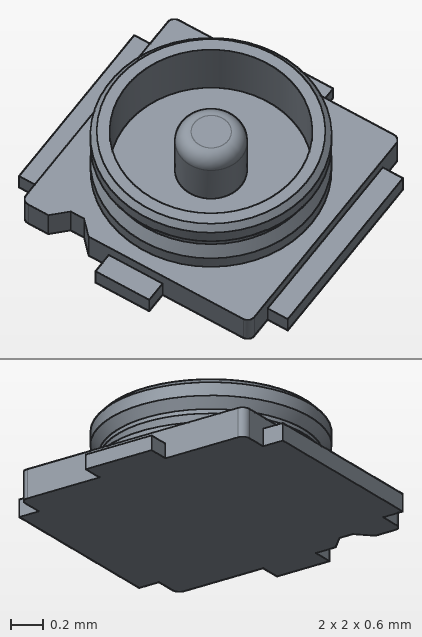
import cadquery as cq

base_side = 1.7
base_height = 0.2
base_corner_radius = 0.05

notch_center_x = -0.5
notch_mouth_width = 0.3
notch_floor_width = 0.1
notch_depth = 0.1

tab_span = 2.0
tab_height = 0.12
side_tab_length = 1.3
front_tab_width = 0.4
back_tab_width = 0.5
back_tab_height = 0.1

shell_radius = 0.75
shell_bore_radius = 0.63
shell_top = 0.6
shell_chamfer = 0.04
groove_radius = 0.7
groove_upper_edge = 0.47
groove_floor_top = 0.4
groove_floor_bottom = 0.37
groove_lower_edge = 0.29

pin_radius = 0.225
pin_top = shell_top
pin_rounding = 0.1


def make_base():
    plate = cq.Workplane("XY").rect(base_side, base_side).extrude(base_height)
    plate = plate.edges("|Z").fillet(base_corner_radius)
    edge_y = -base_side / 2
    floor_y = edge_y + notch_depth
    notch = (
        cq.Workplane("XY")
        .moveTo(notch_center_x - notch_mouth_width / 2, edge_y)
        .lineTo(notch_center_x - notch_floor_width / 2, floor_y)
        .lineTo(notch_center_x + notch_floor_width / 2, floor_y)
        .lineTo(notch_center_x + notch_mouth_width / 2, edge_y)
        .close()
        .extrude(base_height)
    )
    return plate.cut(notch)


def make_tab(direction_x, direction_y, width, height):
    """Tab from the base edge out to the full span, along one axis direction."""
    reach = (tab_span - base_side) / 2
    center_distance = (tab_span + base_side) / 4
    size_x = reach if direction_x else width
    size_y = reach if direction_y else width
    return (
        cq.Workplane("XY")
        .center(direction_x * center_distance, direction_y * center_distance)
        .rect(size_x, size_y)
        .extrude(height)
    )


def make_shell():
    """Ring revolved about Z, chamfered at the rim and grooved outside."""
    profile = [
        (shell_bore_radius, base_height),
        (shell_radius, base_height),
        (shell_radius, groove_lower_edge),
        (groove_radius, groove_floor_bottom),
        (groove_radius, groove_floor_top),
        (shell_radius, groove_upper_edge),
        (shell_radius, shell_top - shell_chamfer),
        (shell_radius - shell_chamfer, shell_top),
        (shell_bore_radius, shell_top),
    ]
    return cq.Workplane("XZ").polyline(profile).close().revolve(360, (0, 0), (0, 1))


def make_pin():
    pin = cq.Workplane("XY").circle(pin_radius).extrude(pin_top)
    return pin.faces(">Z").edges().fillet(pin_rounding)


result = make_base()
for side in (-1, 1):
    result = result.union(make_tab(side, 0, side_tab_length, tab_height))
result = result.union(make_tab(0, -1, front_tab_width, tab_height))
result = result.union(make_tab(0, 1, back_tab_width, back_tab_height))
result = result.union(make_shell()).union(make_pin())